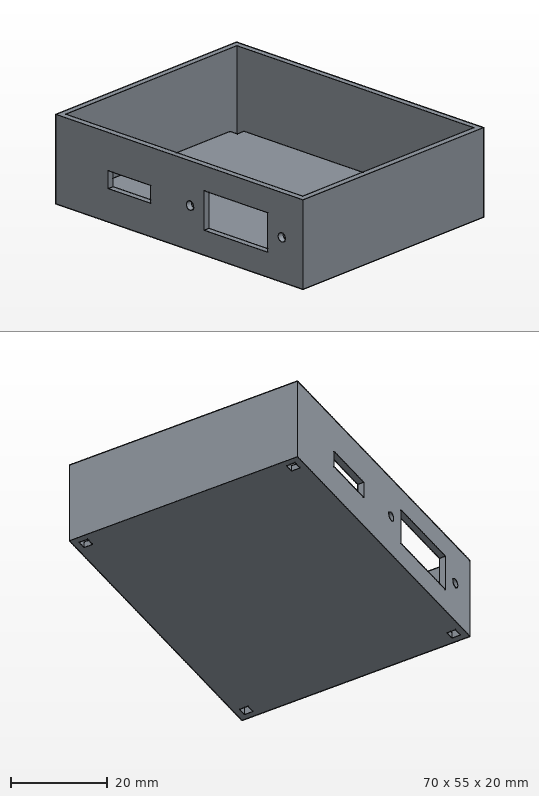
import cadquery as cq

length = 70.0
depth = 55.0
height = 20.0
wall = 1.5
floor_thickness = 1.5

corner_hole = 2.0

slot_left = 14.85
slot_bottom = 7.5
slot_width = 12.05
slot_height = 4.0
window_left = 42.0
window_width = 18.0
window_height = 8.8
window_bottom = (height - window_height) / 2
screw_diameter = 2.0
screw_spacing = 26.0
window_center = window_left + window_width / 2


def block(x, y, z, size_x, size_y, size_z):
    """Box placed by its lowest corner."""
    return cq.Workplane("XY").box(size_x, size_y, size_z, centered=False).translate((x, y, z))


def front_opening(left, bottom, width, opening_height):
    """Rectangular cutter through the front wall only."""
    return block(left, 0, bottom, width, wall, opening_height)


cavity = block(wall, wall, floor_thickness, length - 2 * wall, depth - 2 * wall, height - floor_thickness)
result = block(0, 0, 0, length, depth, height).cut(cavity)

for x in (wall, length - wall - corner_hole):
    for y in (wall, depth - wall - corner_hole):
        result = result.cut(block(x, y, 0, corner_hole, corner_hole, floor_thickness))

result = result.cut(front_opening(slot_left, slot_bottom, slot_width, slot_height))
result = result.cut(front_opening(window_left, window_bottom, window_width, window_height))

for side in (-1, 1):
    screw_x = window_center + side * screw_spacing / 2
    screw_hole = (
        cq.Workplane("XZ", origin=(screw_x, 0, height / 2))
        .circle(screw_diameter / 2)
        .extrude(-wall)
    )
    result = result.cut(screw_hole)